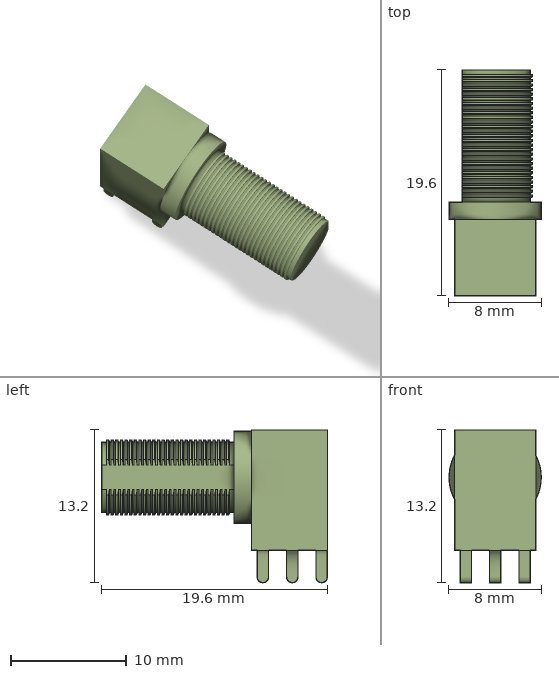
import cadquery as cq


BODY_WIDTH = 7.04
BODY_DEPTH = 6.6
BODY_HEIGHT = 10.42
AXIS_BELOW_TOP = 4.1

FLANGE_DIAMETER = 8.0
FLANGE_THICKNESS = 1.5
TOTAL_LENGTH = 19.55
BARREL_LENGTH = TOTAL_LENGTH - BODY_DEPTH - FLANGE_THICKNESS
BARREL_RADIUS = 3.05
FLAT_OFFSET = 2.85

RIDGE_RADIUS = 3.25
RIDGE_COUNT = 27
THREAD_SPAN = 10.4
RIDGE_PITCH = THREAD_SPAN / (RIDGE_COUNT - 1)
FIRST_RIDGE_INSET = 0.41
RIDGE_ROOT_WIDTH = 0.25
RIDGE_CREST_WIDTH = 0.18

TOTAL_HEIGHT = 13.24
PIN_LENGTH = TOTAL_HEIGHT - BODY_HEIGHT
PIN_WIDTH = 1.0
PIN_SPACING = 2.55
FRONT_PIN_INSET = 0.02

BODY_TOP = AXIS_BELOW_TOP
BODY_BOTTOM = BODY_TOP - BODY_HEIGHT
BARREL_END = FLANGE_THICKNESS + BARREL_LENGTH
FRONT_PIN_Y = -BODY_DEPTH + FRONT_PIN_INSET + PIN_WIDTH / 2
CENTER_PIN_Y = FRONT_PIN_Y + PIN_SPACING


def make_body():
    return cq.Workplane("XY").box(BODY_WIDTH, BODY_DEPTH, BODY_HEIGHT).translate(
        (0, -BODY_DEPTH / 2, BODY_TOP - BODY_HEIGHT / 2)
    )


def make_flange():
    return cq.Workplane("XZ").circle(FLANGE_DIAMETER / 2).extrude(-FLANGE_THICKNESS)


def make_barrel():
    """Revolve the ridged half profile about Y, then mill the flat on the -X side."""
    profile = cq.Workplane("XY").moveTo(0, BARREL_END).lineTo(BARREL_RADIUS, BARREL_END)
    for index in range(RIDGE_COUNT):
        steep_side = BARREL_END - FIRST_RIDGE_INSET - index * RIDGE_PITCH
        profile = (
            profile.lineTo(BARREL_RADIUS, steep_side)
            .lineTo(RIDGE_RADIUS, steep_side)
            .lineTo(RIDGE_RADIUS, steep_side - RIDGE_CREST_WIDTH)
            .lineTo(BARREL_RADIUS, steep_side - RIDGE_ROOT_WIDTH)
        )
    profile = profile.lineTo(BARREL_RADIUS, FLANGE_THICKNESS).lineTo(0, FLANGE_THICKNESS).close()
    barrel = profile.revolve(360, (0, 0, 0), (0, 1, 0))

    kept_width = FLAT_OFFSET + RIDGE_RADIUS
    kept_region = cq.Workplane("XY").box(kept_width, BARREL_LENGTH, 2 * RIDGE_RADIUS).translate(
        (kept_width / 2 - FLAT_OFFSET, FLANGE_THICKNESS + BARREL_LENGTH / 2, 0)
    )
    return barrel.intersect(kept_region)


def make_pin(x, y):
    """Square pin whose tip is rounded about the X direction."""
    half_width = PIN_WIDTH / 2
    tip = BODY_BOTTOM - PIN_LENGTH
    return (
        cq.Workplane("YZ", origin=(x, y, 0))
        .moveTo(-half_width, BODY_BOTTOM)
        .lineTo(-half_width, tip + half_width)
        .threePointArc((0, tip), (half_width, tip + half_width))
        .lineTo(half_width, BODY_BOTTOM)
        .close()
        .extrude(half_width, both=True)
    )


result = make_body().union(make_flange()).union(make_barrel())

result = result.union(make_pin(0, CENTER_PIN_Y))
for x_side in (-1, 1):
    for y_side in (-1, 1):
        result = result.union(make_pin(x_side * PIN_SPACING, CENTER_PIN_Y + y_side * PIN_SPACING))